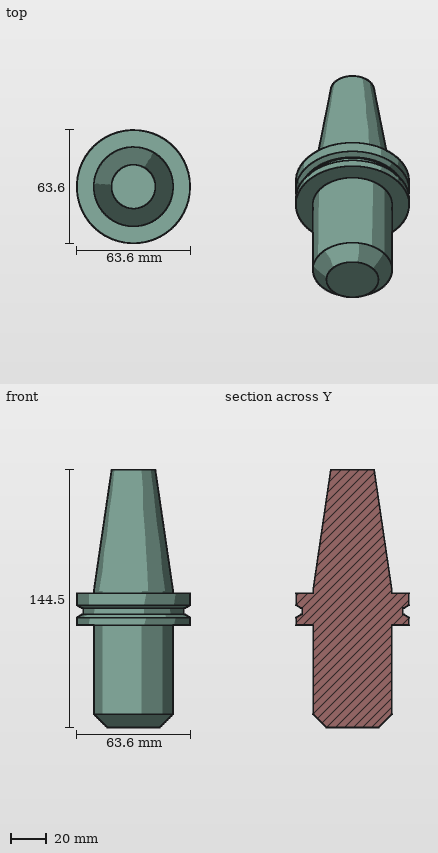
import cadquery as cq

total_height = 144.5

nose_radius = 14.6
body_radius = 22.2
flange_radius = 31.8
groove_radius = 28.2
groove_ledge_width = 0.7
groove_ledge_radius = groove_radius + groove_ledge_width
taper_large_radius = 22.2
taper_small_radius = 12.3

nose_height = 7.7
flange_bottom = 57.3
flange_thickness = 17.9
flange_top = flange_bottom + flange_thickness

lower_rim_thickness = 4.3
upper_rim_thickness = 6.6
groove_bottom_width = 3.5
groove_lower_edge = flange_bottom + lower_rim_thickness
groove_upper_edge = flange_top - upper_rim_thickness
groove_middle = (groove_lower_edge + groove_upper_edge) / 2

collar_height = 1.3
taper_start = flange_top + collar_height


def revolve_outline(outline):
    """Revolve a closed (radius, height) outline around the Z axis."""
    return cq.Workplane("XZ").polyline(outline).close().revolve(360, (0, 0), (0, 1))


def make_holder():
    """Nose, cylindrical body, plain flange, collar and taper."""
    return revolve_outline([
        (0, 0),
        (nose_radius, 0),
        (body_radius, nose_height),
        (body_radius, flange_bottom),
        (flange_radius, flange_bottom),
        (flange_radius, flange_top),
        (taper_large_radius, flange_top),
        (taper_large_radius, taper_start),
        (taper_small_radius, total_height),
        (0, total_height),
    ])


def make_groove():
    """Ring with sloped sides and a stepped floor that cuts the gripper groove."""
    half_width = groove_bottom_width / 2
    return revolve_outline([
        (flange_radius, groove_lower_edge),
        (flange_radius, groove_upper_edge),
        (groove_ledge_radius, groove_middle + half_width),
        (groove_radius, groove_middle + half_width),
        (groove_radius, groove_middle - half_width),
        (groove_ledge_radius, groove_middle - half_width),
    ])


result = make_holder().cut(make_groove())